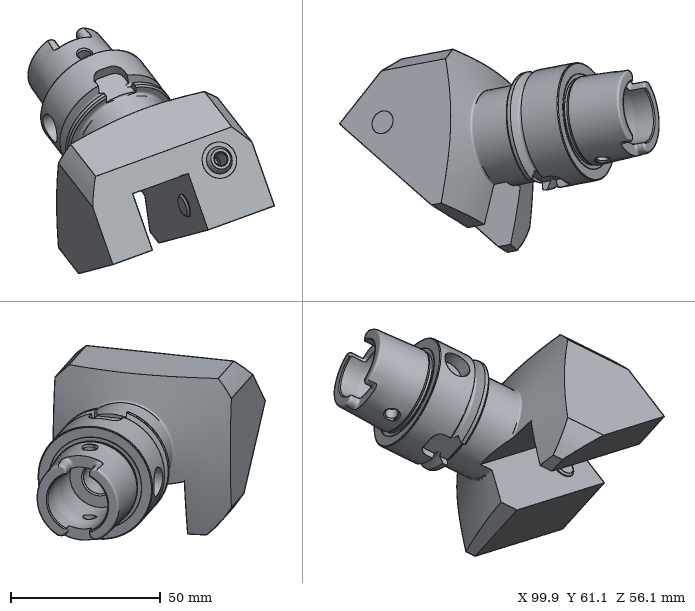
import cadquery as cq
import math


LENGTH = 99.9
HEAD_FRONT = 35.0
HEAD_BACK = 26.1
HEAD_TOP = 26.0
HEAD_BOTTOM = 30.1
NOSE_Z = 5.0
HEAD_R = 40.0
HEAD_CONE_DEG = 15.0
HEAD_CORNER_CHAMFER = 5.0

SLOT_BACK_Y = 1.0
SLOT_WIDTH = 21.0
SLOT_DEPTH = 20.0

SHANK_LENGTH = 20.0
SHANK_TIP_R = 14.3
SHANK_BASE_R = 15.1
SHANK_TAPER_END = 17.8
SHANK_TIP_FILLET = 0.8
RELIEF_START = 18.7
RELIEF_END = 19.4
RELIEF_R = 14.8
FACE_RECESS_R = 16.2
FACE_RECESS_DEPTH = 0.3

FLANGE_R = 20.0
FLANGE_END = 40.0
FLANGE_FRONT_CHAMFER = 0.3
FLANGE_BACK_CHAMFER = 0.6
GROOVE_START = 34.0
GROOVE_END = 38.1
GROOVE_FLOOR_START = 35.0
GROOVE_FLOOR_END = 36.6
GROOVE_R = 16.8
GROOVE_FILLET = 0.6

NECK_R = 16.5
NECK_END = 54.8
NECK_FLANGE_FILLET = 1.0
NECK_HEAD_FILLET = 0.8

BORE_R = 10.5
BORE_CHAMFER = 0.4
BORE_TAPER_START = 7.2
BORE_TAPER_END = 12.2
BORE_FLOOR = 24.0
BORE_FLOOR_R = 10.0
THREAD_R = 5.4
THREAD_CHAMFER = 0.5
THREAD_END = 34.0
COOLANT_R = 2.5
COOLANT_END = 49.95
DRILL_TIP_DEG = 118.0

DRIVE_HALF_WIDTH = 4.0
DRIVE_CUT_Z = 6.0
DRIVE_ROUND = 2.0
DRIVE_ROUND_Z = 10.6
DRIVE_FLOOR_FILLET = 0.9
DRIVE_DEPTH_TOP = 6.1
DRIVE_DEPTH_BOTTOM = 3.6

CROSS_X = 13.9
CROSS_R = 2.2
CROSS_CHAMFER = 0.7

KEYWAY_START = 28.2
KEYWAY_WIDTH = 11.0
KEYWAY_CORNER_R = 3.5
KEYWAY_FLOOR_Z = 16.3
POCKET_X = 26.9
POCKET_R = 5.0
POCKET_DEPTH = 5.0

NOZZLE_X = 85.3
NOZZLE_Y = 13.0
RING_R = 6.1
RING_DEPTH = 8.0
BALL_R = 4.8
BALL_DEPTH = 1.5
BALL_RISE = 1.8
JET_R = 2.2
JET_CHAMFER = 0.3
JET_TILT_DEG = 5.0
JET_ANGLE = math.radians(45.0 - JET_TILT_DEG)
BALL_END = BALL_DEPTH + BALL_RISE

SCREW_R = 4.0
SCREW_X = 83.4
SCREW_REACH = 1.0
SCREW_TIP_CHAMFER = 0.7

CUT_MARGIN = 5.0

NOZZLE_PLANE = cq.Plane(
    origin=(NOZZLE_X, NOZZLE_Y, NOSE_Z + LENGTH - NOZZLE_X), xDir=(0, 1, 0), normal=(1, 0, 1)
)

JET_PLANE = cq.Plane(
    origin=NOZZLE_PLANE.toWorldCoords((0, 0, -BALL_DEPTH)),
    xDir=(0, 1, 0),
    normal=(math.sin(JET_ANGLE), 0, math.cos(JET_ANGLE)),
)


def revolve_about_x(profile):
    """Turn a closed profile of (x, radius) points about the X axis."""
    return profile.close().revolve(360, (0, 0, 0), (1, 0, 0))


def make_shank_and_flange():
    shank = revolve_about_x(
        cq.Workplane("XY")
        .moveTo(0, 0)
        .lineTo(0, SHANK_TIP_R)
        .lineTo(SHANK_TAPER_END, SHANK_BASE_R)
        .lineTo(RELIEF_START, SHANK_BASE_R)
        .lineTo(RELIEF_END, RELIEF_R)
        .lineTo(SHANK_LENGTH + FACE_RECESS_DEPTH, RELIEF_R)
        .lineTo(SHANK_LENGTH + FACE_RECESS_DEPTH, 0)
    )
    flange = revolve_about_x(
        cq.Workplane("XY")
        .moveTo(SHANK_LENGTH + FACE_RECESS_DEPTH, 0)
        .lineTo(SHANK_LENGTH + FACE_RECESS_DEPTH, FACE_RECESS_R)
        .lineTo(SHANK_LENGTH, FACE_RECESS_R)
        .lineTo(SHANK_LENGTH, FLANGE_R - FLANGE_FRONT_CHAMFER)
        .lineTo(SHANK_LENGTH + FLANGE_FRONT_CHAMFER, FLANGE_R)
        .lineTo(GROOVE_START, FLANGE_R)
        .lineTo(GROOVE_FLOOR_START, GROOVE_R)
        .lineTo(GROOVE_FLOOR_END, GROOVE_R)
        .lineTo(GROOVE_END, FLANGE_R)
        .lineTo(FLANGE_END - FLANGE_BACK_CHAMFER, FLANGE_R)
        .lineTo(FLANGE_END, FLANGE_R - FLANGE_BACK_CHAMFER)
        .lineTo(FLANGE_END, 0)
    )
    groove_floor_rims = cq.selectors.BoxSelector(
        (GROOVE_START + GROOVE_FILLET, -1, -1), (GROOVE_END - GROOVE_FILLET, 1, 1)
    )
    flange = flange.edges(groove_floor_rims).fillet(GROOVE_FILLET)
    return shank.union(flange)


def make_neck_and_head():
    cone_slope = math.tan(math.radians(HEAD_CONE_DEG))
    cone_end = NECK_END + (HEAD_R - NECK_R) * cone_slope
    half_turn = math.radians(90 - HEAD_CONE_DEG) / 2
    setback = NECK_HEAD_FILLET * math.tan(half_turn)
    arc_mid = NECK_HEAD_FILLET * math.sin(half_turn)
    arc_mid_rise = NECK_HEAD_FILLET * (1 - math.cos(half_turn))
    arc_end_x = NECK_END + setback * math.sin(math.radians(HEAD_CONE_DEG))
    arc_end_r = NECK_R + setback * math.cos(math.radians(HEAD_CONE_DEG))
    foot_mid = NECK_FLANGE_FILLET * (1 - math.sqrt(0.5))
    envelope = revolve_about_x(
        cq.Workplane("XY")
        .moveTo(FLANGE_END, 0)
        .lineTo(FLANGE_END, NECK_R + NECK_FLANGE_FILLET)
        .threePointArc(
            (FLANGE_END + foot_mid, NECK_R + foot_mid), (FLANGE_END + NECK_FLANGE_FILLET, NECK_R)
        )
        .lineTo(NECK_END - setback, NECK_R)
        .threePointArc(
            (NECK_END - setback + arc_mid, NECK_R + arc_mid_rise), (arc_end_x, arc_end_r)
        )
        .lineTo(cone_end, HEAD_R)
        .lineTo(LENGTH, HEAD_R)
        .lineTo(LENGTH, 0)
    )
    block = (
        cq.Workplane("XZ", origin=(0, HEAD_BACK, 0))
        .polyline([
            (FLANGE_END, -HEAD_BOTTOM),
            (LENGTH - NOSE_Z - HEAD_BOTTOM, -HEAD_BOTTOM),
            (LENGTH, NOSE_Z),
            (LENGTH + NOSE_Z - HEAD_TOP, HEAD_TOP),
            (FLANGE_END, HEAD_TOP),
        ])
        .close()
        .extrude(HEAD_BACK + HEAD_FRONT)
        .edges(">Y and >Z")
        .chamfer(HEAD_CORNER_CHAMFER)
    )
    return envelope.intersect(block)


def make_tool_slot():
    """Square-bottomed slot parallel to the lower 45 degree face."""
    middle_y = SLOT_BACK_Y - SLOT_WIDTH / 2
    plane = cq.Plane(origin=(LENGTH, middle_y, NOSE_Z), xDir=(1, 0, 1), normal=(1, 0, -1))
    return cq.Workplane(plane).rect(2 * LENGTH, SLOT_WIDTH).extrude(-SLOT_DEPTH)


def make_bore():
    drill_tip = COOLANT_R / math.tan(math.radians(DRILL_TIP_DEG / 2))
    return revolve_about_x(
        cq.Workplane("XY")
        .moveTo(0, 0)
        .lineTo(0, BORE_R + BORE_CHAMFER)
        .lineTo(BORE_CHAMFER, BORE_R)
        .lineTo(BORE_TAPER_START, BORE_R)
        .lineTo(BORE_TAPER_END, BORE_FLOOR_R)
        .lineTo(BORE_FLOOR, BORE_FLOOR_R)
        .lineTo(BORE_FLOOR, THREAD_R + THREAD_CHAMFER)
        .lineTo(BORE_FLOOR + THREAD_CHAMFER, THREAD_R)
        .lineTo(THREAD_END, THREAD_R)
        .lineTo(THREAD_END, COOLANT_R)
        .lineTo(COOLANT_END, COOLANT_R)
        .lineTo(COOLANT_END + drill_tip, 0)
    )


def make_drive_slot(depth):
    """Slot on the +Z side whose walls round outward into the shank surface."""
    outer = DRIVE_HALF_WIDTH + DRIVE_ROUND
    top = DRIVE_ROUND_Z + DRIVE_ROUND
    round_mid = DRIVE_ROUND * math.sqrt(0.5)
    slot = (
        cq.Workplane("YZ")
        .moveTo(-DRIVE_HALF_WIDTH, DRIVE_CUT_Z)
        .lineTo(DRIVE_HALF_WIDTH, DRIVE_CUT_Z)
        .lineTo(DRIVE_HALF_WIDTH, DRIVE_ROUND_Z)
        .threePointArc((outer - round_mid, DRIVE_ROUND_Z + round_mid), (outer, top))
        .lineTo(FLANGE_R, top)
        .lineTo(FLANGE_R, FLANGE_R)
        .lineTo(-FLANGE_R, FLANGE_R)
        .lineTo(-FLANGE_R, top)
        .lineTo(-outer, top)
        .threePointArc((round_mid - outer, DRIVE_ROUND_Z + round_mid), (-DRIVE_HALF_WIDTH, DRIVE_ROUND_Z))
        .close()
        .extrude(depth)
    )
    return slot.faces(">X").edges("not(<Z or >Z or <Y or >Y)").fillet(DRIVE_FLOOR_FILLET)


def make_cross_hole():
    surface_r = SHANK_TIP_R + (SHANK_BASE_R - SHANK_TIP_R) * CROSS_X / SHANK_TAPER_END
    hole = cq.Workplane("XY", origin=(CROSS_X, 0, -FLANGE_R)).circle(CROSS_R).extrude(2 * FLANGE_R)
    for side in (1, -1):
        sink = cq.Solid.makeCone(
            CROSS_R, CROSS_R + CROSS_CHAMFER, CROSS_CHAMFER,
            cq.Vector(CROSS_X, 0, side * (surface_r - CROSS_CHAMFER)), cq.Vector(0, 0, side),
        )
        hole = hole.union(cq.Workplane(sink))
    return hole


def make_keyway():
    """Round-cornered keyway on the +Z side, open toward the head."""
    length = FLANGE_END - KEYWAY_START
    return (
        cq.Workplane("XY", origin=(KEYWAY_START + length / 2, 0, KEYWAY_FLOOR_Z))
        .rect(length, KEYWAY_WIDTH)
        .extrude(CUT_MARGIN)
        .edges("|Z and <X")
        .fillet(KEYWAY_CORNER_R)
    )


def make_flange_pocket():
    """Flat-bottomed round pocket in the -Y side of the flange."""
    floor = cq.Workplane("XZ", origin=(POCKET_X, POCKET_DEPTH - FLANGE_R, 0))
    return floor.circle(POCKET_R).extrude(POCKET_DEPTH + CUT_MARGIN)


def make_ring_envelope():
    return cq.Workplane(NOZZLE_PLANE).circle(RING_R).extrude(-RING_DEPTH)


def make_jet_hole():
    """Hole along the jet axis, chamfered at the flat end of the ball."""
    mouth = cq.Workplane(JET_PLANE).workplane(offset=BALL_END)
    hole = mouth.circle(JET_R).extrude(-BALL_END - RING_DEPTH)
    mouth_cone = mouth.circle(JET_R + JET_CHAMFER).extrude(-JET_CHAMFER, taper=45)
    return hole.union(mouth_cone)


def make_nozzle_ball():
    ball = cq.Workplane(JET_PLANE).sphere(BALL_R)
    mouth = cq.Workplane(JET_PLANE).workplane(offset=BALL_END)
    return ball.cut(mouth.circle(BALL_R).extrude(BALL_R))


def make_clamp_screw():
    """Set screw along Y, flush with the +Y side, its chamfered tip standing into the slot."""
    slot_middle_z = NOSE_Z - LENGTH + SCREW_X + SLOT_DEPTH / math.sqrt(2)
    return (
        cq.Workplane("XZ", origin=(SCREW_X, HEAD_BACK, slot_middle_z))
        .circle(SCREW_R)
        .extrude(HEAD_BACK - SLOT_BACK_Y + SCREW_REACH)
        .faces("<Y")
        .chamfer(SCREW_TIP_CHAMFER)
    )


def mirror_below(shape):
    return shape.mirror("XY")


jet_hole = make_jet_hole()
nozzle_ball = make_nozzle_ball()
nozzle_ring = make_ring_envelope().cut(nozzle_ball).cut(jet_hole)
nozzle_ball = nozzle_ball.cut(jet_hole)
clamp_screw = make_clamp_screw()

holder = make_shank_and_flange()
holder = holder.cut(make_drive_slot(DRIVE_DEPTH_TOP))
holder = holder.cut(mirror_below(make_drive_slot(DRIVE_DEPTH_BOTTOM)))
holder = holder.faces("<X").edges().fillet(SHANK_TIP_FILLET)
holder = holder.union(make_neck_and_head())
holder = holder.cut(make_bore())
holder = holder.cut(make_tool_slot())
holder = holder.cut(make_cross_hole())
holder = holder.cut(make_keyway())
holder = holder.cut(mirror_below(make_keyway()))
holder = holder.cut(make_flange_pocket())
holder = holder.cut(make_ring_envelope())
holder = holder.cut(clamp_screw)

result = cq.Compound.makeCompound(
    [holder.val(), nozzle_ring.val(), nozzle_ball.val(), clamp_screw.val()]
)